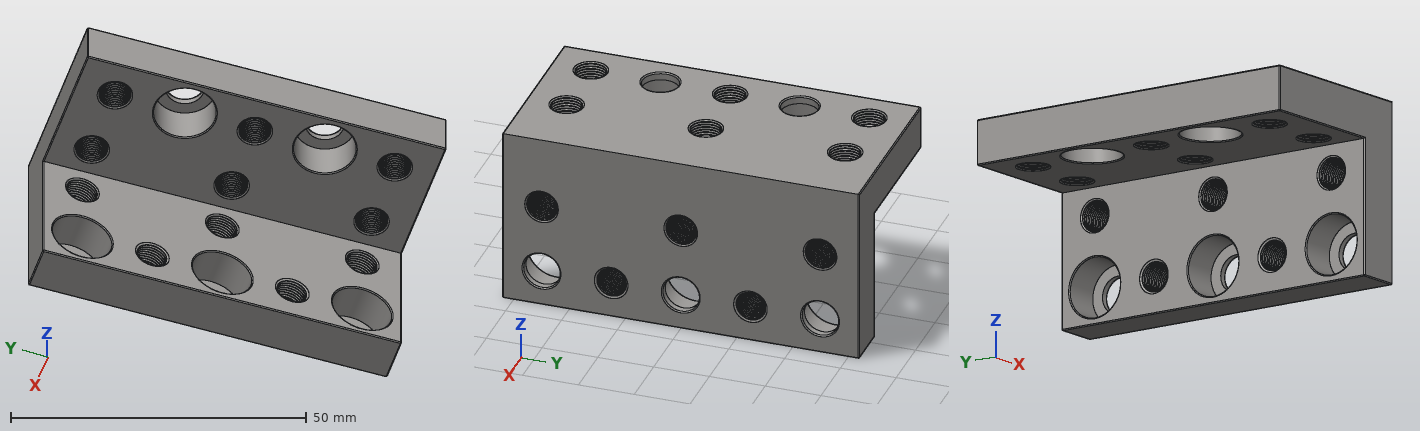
import cadquery as cq

length = 64.0
flange_width = length / 2
flange_thickness = 8.0
edge_break = 0.2

hole_edge_offset = 6.5
hole_pitch = 12.5
inner_row = hole_edge_offset + hole_pitch
main_stations = [-2 * hole_pitch, 0, 2 * hole_pitch]
middle_stations = [-hole_pitch, hole_pitch]

thread_major_diameter = 6.0
thread_minor_diameter = 5.45
tight_minor_diameter = 5.25
thread_turns = 16
thread_pitch = flange_thickness / thread_turns
root_flat = thread_pitch / 8
crest_flat = thread_pitch / 4

screw_diameter = 6.5
screw_rim_diameter = 7.0
counterbore_diameter = 10.6
counterbore_rim_diameter = 11.0
counterbore_depth = 6.6


def angle_body():
    """L-shaped section along Y; only the long outer and inner corner edges stay sharp."""
    half = flange_width / 2
    inner = half - flange_thickness
    section = [(-half, half), (half, half), (half, -half), (inner, -half), (inner, inner), (-half, inner)]
    body = cq.Workplane("XZ").polyline(section).close().extrude(length / 2, both=True)
    return body.edges("(not |Y) or <X or <Z").chamfer(edge_break)


def tapped_hole(minor_diameter):
    """Cutter along +Z for a tapped through hole, with a thread groove at either face."""
    minor_radius = minor_diameter / 2
    major_radius = thread_major_diameter / 2
    half_section = [(0, 0), (major_radius, 0)]
    for turn in range(thread_turns):
        start = turn * thread_pitch
        crest = start + thread_pitch / 2
        end = start + thread_pitch
        half_section += [
            (major_radius, start + root_flat / 2),
            (minor_radius, crest - crest_flat / 2),
            (minor_radius, crest + crest_flat / 2),
            (major_radius, end - root_flat / 2),
        ]
    half_section += [(major_radius, flange_thickness), (0, flange_thickness)]
    return cq.Workplane("XZ").polyline(half_section).close().revolve(360, (0, 0, 0), (0, 1, 0))


def screw_hole():
    """Cutter along +Z for a through hole, counterbored from Z = 0, with chamfered rims."""
    bore_radius = screw_diameter / 2
    bore_rim_radius = screw_rim_diameter / 2
    counterbore_radius = counterbore_diameter / 2
    counterbore_rim_radius = counterbore_rim_diameter / 2
    half_section = [
        (0, 0),
        (counterbore_rim_radius, 0),
        (counterbore_radius, counterbore_rim_radius - counterbore_radius),
        (counterbore_radius, counterbore_depth),
        (bore_radius, counterbore_depth),
        (bore_radius, flange_thickness - (bore_rim_radius - bore_radius)),
        (bore_rim_radius, flange_thickness),
        (0, flange_thickness),
    ]
    return cq.Workplane("XZ").polyline(half_section).close().revolve(360, (0, 0, 0), (0, 1, 0))


def in_top_flange(cutter, row, station):
    """Move a cutter into the horizontal flange, starting at its underside."""
    return cutter.translate((row - flange_width / 2, station, flange_width / 2 - flange_thickness))


def in_side_flange(cutter, row, station):
    """Move a cutter into the vertical flange, starting at its inner face."""
    turned = cutter.rotate((0, 0, 0), (0, 1, 0), 90)
    return turned.translate((flange_width / 2 - flange_thickness, station, row - flange_width / 2))


result = angle_body()
tapped = tapped_hole(thread_minor_diameter)
tight_tapped = tapped_hole(tight_minor_diameter)
screw = screw_hole()

for station in main_stations:
    result = result.cut(in_top_flange(tapped, hole_edge_offset, station))
    result = result.cut(in_top_flange(tapped, inner_row, station))
    result = result.cut(in_side_flange(screw, hole_edge_offset, station))
    result = result.cut(in_side_flange(tapped, inner_row, station))

for station in middle_stations:
    result = result.cut(in_top_flange(screw, hole_edge_offset, station))
    result = result.cut(in_side_flange(tight_tapped, hole_edge_offset, station))